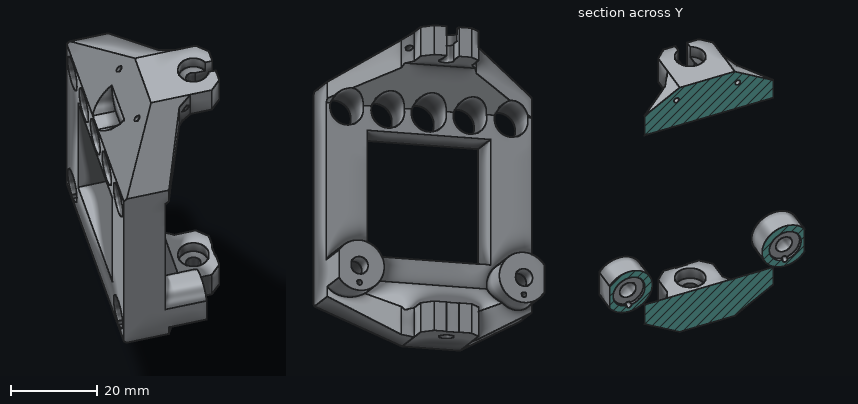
import cadquery as cq
import math

plate_size = 50.0
plate_thickness = 10.0
window_size = 30.0
plate_half = plate_size / 2

part_height = 73.0
tab_thickness = 7.0
tab_length = 10.0
tab_half_width = 7.05
tab_corner_chamfer = 2.5
arm_slant_thickness = 10.0
arm_top = part_height / 2
arm_rise = arm_top - plate_half
arm_slant_drop = arm_slant_thickness * math.sqrt(2)
tab_underside = arm_top - tab_thickness
tab_root_y = tab_underside - plate_half + arm_slant_drop
tab_tip_y = tab_root_y + tab_length
arm_foot_z = plate_half - arm_slant_drop + plate_thickness

side_taper_start_z = 25.7
back_wall_knee = (9.15, 17.7)
back_wall_right_start_y = 10.85
back_wall_end_y = 21.0

tab_hole_y = tab_tip_y - 5.0
tab_hole_diameter = 3.5
tab_counterbore_diameter = 7.21
tab_counterbore_depth = 3.0
slot_width = 3.0
lower_nick_depth = 0.2

hole_row_z = 20.0
outer_hole_positions = (-20.0, -10.0, 10.0, 20.0)
outer_hole_diameter = 8.1
centre_hole_diameter = 8.5

boss_x = 20.0
boss_z = -20.0
boss_diameter = 12.0
boss_end_y = 20.0
bore_diameter = 8.0
bore_depth = 15.0
screw_hole_diameter = 4.15
wire_channel_diameter = 1.2
wire_channel_offset = 4.1

pin_hole_x = 7.85
pin_hole_z = 32.9
pin_hole_diameter = 1.2
pocket_diameter = 11.0
pocket_centre_z = 30.05
pocket_depth = 5.5


def cylinder_y(diameter, x, z, y_start, y_end):
    """Cylinder along +Y from y_start to y_end."""
    start = cq.Vector(x, y_start, z)
    return cq.Workplane(cq.Solid.makeCylinder(diameter / 2, y_end - y_start, start, cq.Vector(0, 1, 0)))


def cylinder_z(diameter, y, z_start, z_end):
    """Cylinder along +Z on the X = 0 plane."""
    return cq.Workplane("XY", origin=(0, y, z_start)).circle(diameter / 2).extrude(z_end - z_start)


def block(x_range, y_range, z_range):
    """Axis-aligned block between pairs of limits."""
    (x0, x1), (y0, y1), (z0, z1) = x_range, y_range, z_range
    return cq.Workplane(cq.Solid.makeBox(x1 - x0, y1 - y0, z1 - z0, cq.Vector(x0, y0, z0)))


def mirror_points(points):
    """Points reflected across X = 0, in reverse order."""
    return [(-x, y) for x, y in reversed(points)]


def make_plate():
    return block((-plate_half, plate_half), (0, plate_thickness), (-plate_half, plate_half))


def make_upper_arm():
    """Common volume of the bent side profile, the tapered front outline and the plan outline."""
    profile = (
        cq.Workplane("YZ", origin=(-plate_half, 0, 0))
        .polyline([
            (0, arm_foot_z),
            (0, plate_half),
            (arm_rise, arm_top),
            (tab_tip_y, arm_top),
            (tab_tip_y, tab_underside),
            (tab_root_y, tab_underside),
            (plate_thickness, arm_foot_z),
        ])
        .close()
        .extrude(plate_size)
    )
    taper_side = [
        (plate_half, arm_foot_z),
        (plate_half, side_taper_start_z),
        (tab_half_width, arm_top),
    ]
    front_points = taper_side + mirror_points(taper_side)
    front_outline = cq.Workplane("XZ").polyline(front_points).close().extrude(-tab_tip_y)

    right_side = [
        (plate_half, 0),
        (plate_half, back_wall_right_start_y),
        back_wall_knee,
        (tab_half_width, back_wall_end_y),
        (tab_half_width, tab_tip_y - tab_corner_chamfer),
        (tab_half_width - tab_corner_chamfer, tab_tip_y),
    ]
    left_side = mirror_points(right_side)
    left_side[-2] = (-plate_half, plate_thickness)
    plan_outline = cq.Workplane("XY").polyline(right_side + left_side).close().extrude(arm_top)
    return profile.intersect(front_outline).intersect(plan_outline)


def cut_tab_seat(arm, top_z):
    """Through hole counterbored from the tab's upper face at top_z."""
    hole = cylinder_z(tab_hole_diameter, tab_hole_y, top_z - tab_thickness, top_z)
    counterbore = cylinder_z(tab_counterbore_diameter, tab_hole_y, top_z - tab_counterbore_depth, top_z)
    return arm.cut(hole).cut(counterbore)


def cut_tip_slot(arm, start_y, top_z):
    """Full-height slot in the tab tip, from start_y out to the end."""
    slot_x = (-slot_width / 2, slot_width / 2)
    return arm.cut(block(slot_x, (start_y, tab_tip_y), (top_z - tab_thickness, top_z)))


def cut_slope_features(arm):
    """Two pin holes and a round, flat-backed pocket in the front slope."""
    for x in (-pin_hole_x, pin_hole_x):
        arm = arm.cut(cylinder_y(pin_hole_diameter, x, pin_hole_z, 0, tab_tip_y))
    return arm.cut(cylinder_y(pocket_diameter, 0, pocket_centre_z, 0, pocket_depth))


def make_boss(x):
    """Rear boss, flattened flush with the side of the plate."""
    boss = cylinder_y(boss_diameter, x, boss_z, plate_thickness, boss_end_y)
    return boss.intersect(block((-plate_half, plate_half), (0, boss_end_y), (-arm_top, 0)))


def cut_boss_bore(body, x):
    """Stepped bore with a small round wire channel along the bottom of the bore wall."""
    channel_z = boss_z - wire_channel_offset
    body = body.cut(cylinder_y(bore_diameter, x, boss_z, 0, bore_depth))
    body = body.cut(cylinder_y(screw_hole_diameter, x, boss_z, 0, boss_end_y))
    return body.cut(cylinder_y(wire_channel_diameter, x, channel_z, 0, tab_tip_y))


def cut_plate_openings(body):
    """Square window and the row of round holes above it."""
    window = (-window_size / 2, window_size / 2)
    body = body.cut(block(window, (0, plate_thickness), window))
    body = body.cut(cylinder_y(centre_hole_diameter, 0, hole_row_z, 0, tab_tip_y))
    for x in outer_hole_positions:
        body = body.cut(cylinder_y(outer_hole_diameter, x, hole_row_z, 0, tab_tip_y))
    return body


plain_arm = make_upper_arm()

upper_arm = cut_tab_seat(plain_arm, arm_top)
upper_arm = cut_tip_slot(upper_arm, tab_hole_y, arm_top)
upper_arm = cut_slope_features(upper_arm)

lower_arm = cut_tab_seat(plain_arm.mirror("XY"), -tab_underside)
lower_arm = cut_tip_slot(lower_arm, tab_tip_y - lower_nick_depth, -tab_underside)

result = make_plate().union(upper_arm).union(lower_arm)
for side_x in (-boss_x, boss_x):
    result = result.union(make_boss(side_x))
    result = cut_boss_bore(result, side_x)
result = cut_plate_openings(result)